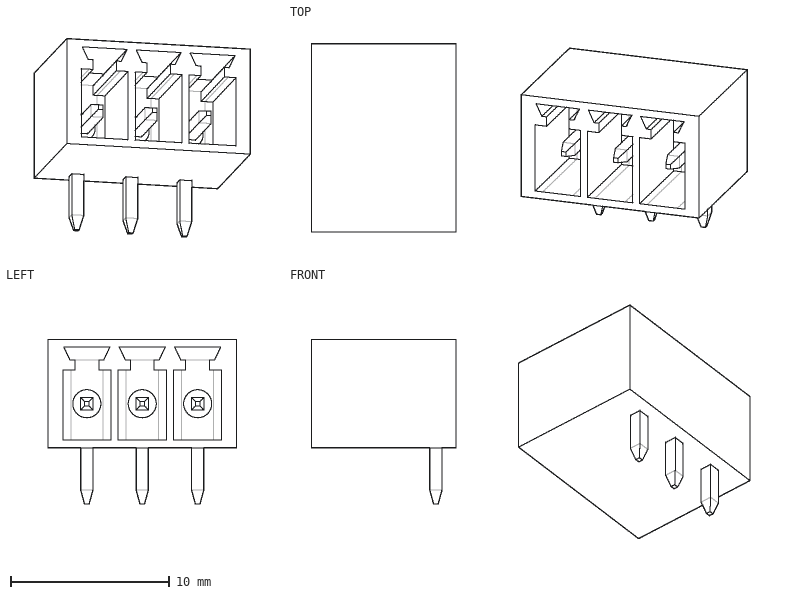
import cadquery as cq


housing_depth = 9.13
housing_width = 11.91
housing_height = 6.85
overall_height = 10.41

chamber_count = 3
chamber_pitch = 3.5
chamber_depth = 6.43
chamber_width = 3.04
channel_width = 2.02
neck_width = 1.51
dovetail_bottom_width = 2.14
dovetail_top_width = 2.91
floor_z = 0.49
chamber_top_z = 4.93
dovetail_bottom_z = 5.56
dovetail_top_z = 6.36

pin_width = 0.79
pin_tip_width = 0.3
pin_axis_z = 2.79
pin_tip_x = 1.1
pin_tip_length = 1.0
leg_x = 7.86
leg_tip_length = 0.89
leg_end_z = housing_height - overall_height

bushing_diameter = 1.77
bushing_end_x = leg_x - pin_width / 2
bushing_length = bushing_end_x - chamber_depth

pin_positions = [
    (index - (chamber_count - 1) / 2) * chamber_pitch for index in range(chamber_count)
]


def mirrored_pocket(half_outline):
    """Pocket sunk from the -X face; its outline is the given (y, z) side plus its mirror image."""
    mirrored_half = [(-y, z) for y, z in reversed(half_outline)]
    return cq.Workplane("YZ").polyline(half_outline + mirrored_half).close().extrude(chamber_depth)


def make_chamber_pockets(y):
    """The strips of one chamber, each a separate pocket of the same depth."""
    channel = mirrored_pocket([
        (channel_width / 2, floor_z),
        (channel_width / 2, chamber_top_z),
        (neck_width / 2, chamber_top_z),
        (neck_width / 2, dovetail_bottom_z),
    ])
    dovetail = mirrored_pocket([
        (dovetail_bottom_width / 2, dovetail_bottom_z),
        (dovetail_top_width / 2, dovetail_top_z),
    ])
    side_width = (chamber_width - channel_width) / 2
    side_height = chamber_top_z - floor_z
    side_y = (channel_width + side_width) / 2
    pockets = [channel, dovetail]
    for offset in (-side_y, side_y):
        side_strip = cq.Workplane("XY").box(
            chamber_depth, side_width, side_height, centered=(False, True, False)
        )
        pockets.append(side_strip.translate((0, offset, floor_z)))
    return [pocket.translate((0, y, 0)) for pocket in pockets]


def make_pin(y):
    """Square right-angle pin with a blunt pyramid point at both ends."""
    contact_start_x = pin_tip_x + pin_tip_length
    contact_length = leg_x + pin_width / 2 - contact_start_x
    contact = (
        cq.Workplane("YZ", origin=(contact_start_x, 0, pin_axis_z))
        .rect(pin_width, pin_width)
        .extrude(contact_length)
    )
    contact_tip = (
        cq.Workplane("YZ", origin=(pin_tip_x, 0, pin_axis_z))
        .rect(pin_tip_width, pin_tip_width)
        .workplane(offset=pin_tip_length)
        .rect(pin_width, pin_width)
        .loft(ruled=True)
    )
    leg_start_z = leg_end_z + leg_tip_length
    leg = (
        cq.Workplane("XY", origin=(leg_x, 0, leg_start_z))
        .rect(pin_width, pin_width)
        .extrude(pin_axis_z - leg_start_z)
    )
    leg_tip = (
        cq.Workplane("XY", origin=(leg_x, 0, leg_end_z))
        .rect(pin_tip_width, pin_tip_width)
        .workplane(offset=leg_tip_length)
        .rect(pin_width, pin_width)
        .loft(ruled=True)
    )
    return contact.union(contact_tip).union(leg).union(leg_tip).clean().translate((0, y, 0))


def make_bushing_blank(y):
    """Solid round plug in the back wall, before its hole for the pin."""
    return (
        cq.Workplane("YZ", origin=(chamber_depth, y, pin_axis_z))
        .circle(bushing_diameter / 2)
        .extrude(bushing_length)
    )


def make_housing(pins, bushing_blanks):
    """Block with three chambers and matching holes for the pins and bushings."""
    housing = cq.Workplane("XY").box(
        housing_depth, housing_width, housing_height, centered=(False, True, False)
    )
    for seat in pins + bushing_blanks:
        housing = housing.cut(seat)
    for y in pin_positions:
        for pocket in make_chamber_pockets(y):
            housing = housing.cut(pocket, clean=False)
    return housing


pins = [make_pin(y) for y in pin_positions]
bushing_blanks = [make_bushing_blank(y) for y in pin_positions]
bushings = [blank.cut(pin) for blank, pin in zip(bushing_blanks, pins)]
housing = make_housing(pins, bushing_blanks)

result = cq.Compound.makeCompound(
    [housing.val()] + [pin.val() for pin in pins] + [bushing.val() for bushing in bushings]
)